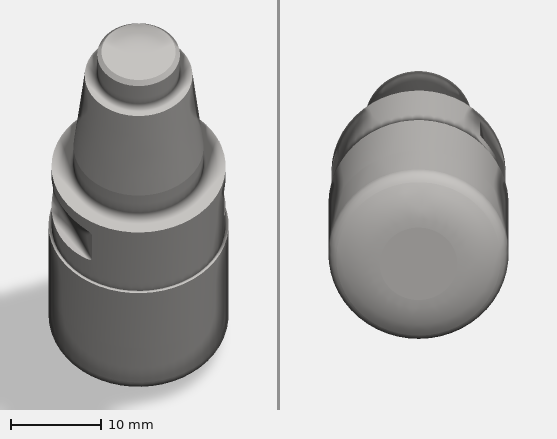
import cadquery as cq
import math

TOTAL_HEIGHT = 47.8
CAP_TOP = 9.0
BARREL_TOP = 18.35
COLLAR_TOP = 28.3
TAPER_BOTTOM = 31.75
TAPER_TOP = 43.85

BARREL_RADIUS = 20.0 / 2
COLLAR_RADIUS = 19.3 / 2
NECK_RADIUS = 7.2
TAPER_TOP_RADIUS = 5.98
TIP_RADIUS = 9.2 / 2

ROOT_FILLET = 0.5
TIP_CHAMFER = 0.5

END_FLAT_RADIUS = 4.3
CROWN_ARC_RADIUS = 8.5
CORNER_ARC_RADIUS = 2.0

FLAT_DISTANCE = 8.0
FLAT_CENTER_Z = 24.05
FLAT_HALF_HEIGHT = 2.35
FLAT_WALL_ANGLE = 15.0
FLAT_FILLET = 0.5


def make_cap():
    """Bottom cap whose flat centre, crown arc, corner arc and side are all tangent."""
    corner_center_x = BARREL_RADIUS - CORNER_ARC_RADIUS
    center_run = corner_center_x - END_FLAT_RADIUS
    center_distance = CROWN_ARC_RADIUS - CORNER_ARC_RADIUS
    corner_center_z = CROWN_ARC_RADIUS - math.sqrt(center_distance**2 - center_run**2)
    join_angle = math.asin(center_run / center_distance)

    def crown_point(angle):
        return (
            END_FLAT_RADIUS + CROWN_ARC_RADIUS * math.sin(angle),
            CROWN_ARC_RADIUS * (1 - math.cos(angle)),
        )

    corner_middle_angle = (join_angle + math.pi / 2) / 2
    corner_middle = (
        corner_center_x + CORNER_ARC_RADIUS * math.sin(corner_middle_angle),
        corner_center_z - CORNER_ARC_RADIUS * math.cos(corner_middle_angle),
    )
    profile = (
        cq.Workplane("XZ")
        .lineTo(END_FLAT_RADIUS, 0)
        .threePointArc(crown_point(join_angle / 2), crown_point(join_angle))
        .threePointArc(corner_middle, (BARREL_RADIUS, corner_center_z))
        .lineTo(BARREL_RADIUS, CAP_TOP)
        .lineTo(0, CAP_TOP)
        .close()
    )
    return profile.revolve(360, (0, 0), (0, 1))


def concave_root(profile, radius, shoulder_z):
    """Go up a small concave fillet from a shoulder to a wall of given radius."""
    inset = ROOT_FILLET * (1 - math.sqrt(0.5))
    return (
        profile.lineTo(radius + ROOT_FILLET, shoulder_z)
        .threePointArc((radius + inset, shoulder_z + inset), (radius, shoulder_z + ROOT_FILLET))
    )


def make_turned_spindle():
    """Barrel, collar, neck, taper and chamfered tip, turned about Z."""
    profile = (
        cq.Workplane("XZ")
        .moveTo(0, CAP_TOP)
        .lineTo(BARREL_RADIUS, CAP_TOP)
        .lineTo(BARREL_RADIUS, BARREL_TOP)
        .lineTo(COLLAR_RADIUS, BARREL_TOP)
        .lineTo(COLLAR_RADIUS, COLLAR_TOP)
    )
    profile = concave_root(profile, NECK_RADIUS, COLLAR_TOP)
    profile = profile.lineTo(NECK_RADIUS, TAPER_BOTTOM).lineTo(TAPER_TOP_RADIUS, TAPER_TOP)
    profile = concave_root(profile, TIP_RADIUS, TAPER_TOP)
    profile = (
        profile.lineTo(TIP_RADIUS, TOTAL_HEIGHT - TIP_CHAMFER)
        .lineTo(TIP_RADIUS - TIP_CHAMFER, TOTAL_HEIGHT)
        .lineTo(0, TOTAL_HEIGHT)
        .close()
    )
    return profile.revolve(360, (0, 0), (0, 1))


def make_flat_cutter():
    """Trapezoidal bar that opens outward in +Y, with filleted inner edges."""
    outer_y = BARREL_RADIUS
    spread = (outer_y - FLAT_DISTANCE) * math.tan(math.radians(FLAT_WALL_ANGLE))
    outer_half_height = FLAT_HALF_HEIGHT + spread
    return (
        cq.Workplane("YZ")
        .moveTo(FLAT_DISTANCE, FLAT_CENTER_Z - FLAT_HALF_HEIGHT)
        .lineTo(outer_y, FLAT_CENTER_Z - outer_half_height)
        .lineTo(outer_y, FLAT_CENTER_Z + outer_half_height)
        .lineTo(FLAT_DISTANCE, FLAT_CENTER_Z + FLAT_HALF_HEIGHT)
        .close()
        .extrude(BARREL_RADIUS, both=True)
        .edges("|X and <Y")
        .fillet(FLAT_FILLET)
    )


def make_spindle():
    """Turned spindle with the two wrench flats cut into its collar."""
    spindle = make_turned_spindle()
    cutter = make_flat_cutter()
    for side_angle in (0, 180):
        spindle = spindle.cut(cutter.rotate((0, 0, 0), (0, 0, 1), side_angle))
    return spindle


cap = make_cap()
spindle = make_spindle()

result = cq.Compound.makeCompound([cap.val(), spindle.val()])